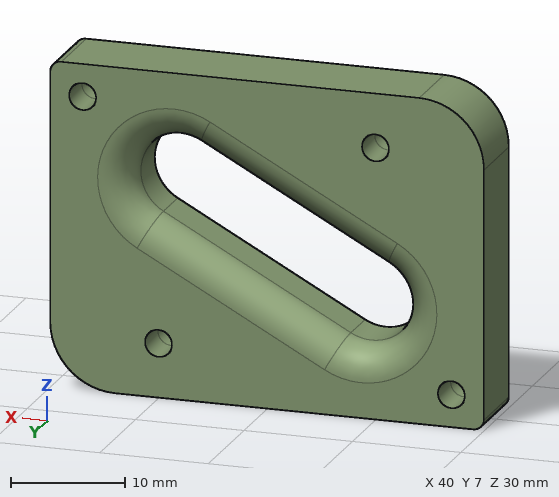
import cadquery as cq
import math

length = 40.0
thickness = 7.0
height = 30.0
large_corner_radius = 6.0
small_corner_radius = 1.0

hole_diameter = 2.5
hole_pair_positions = [(17.0, 12.0), (-10.0, 10.0)]

slot_width = 8.0
slot_end_x = 8.65
slot_end_z = 4.7
slot_length = 2 * math.hypot(slot_end_x, slot_end_z) + slot_width
slot_angle = math.degrees(math.atan2(slot_end_z, slot_end_x))
slot_rim_radius = 3.0


def make_plate():
    """Plate with two large and two small rounded corners, alternating."""
    plate = cq.Workplane("XZ").box(length, height, thickness)
    corners = [
        ("<X", ">Z", large_corner_radius),
        (">X", "<Z", large_corner_radius),
        (">X", ">Z", small_corner_radius),
        ("<X", "<Z", small_corner_radius),
    ]
    for x_side, z_side, radius in corners:
        plate = plate.faces(x_side).edges("|Y").edges(z_side).fillet(radius)
    return plate


def make_holes():
    """Cutters for each hole and its opposite about the plate centre."""
    positions = []
    for x, z in hole_pair_positions:
        positions += [(x, z), (-x, -z)]
    holes = cq.Workplane("XZ").pushPoints(positions).circle(hole_diameter / 2)
    return holes.extrude(thickness, both=True)


def make_slot():
    """Cutter for the slanted slot with rounded ends."""
    return cq.Workplane("XZ").slot2D(slot_length, slot_width, slot_angle).extrude(thickness, both=True)


def round_slot_rim(plate):
    """Round over the rim of the slot on the +Y face only."""
    slot_rim = plate.faces(">Y").val().innerWires()[0]
    return plate.newObject(slot_rim.Edges()).fillet(slot_rim_radius)


slotted_plate = round_slot_rim(make_plate().cut(make_slot()))
result = slotted_plate.cut(make_holes())